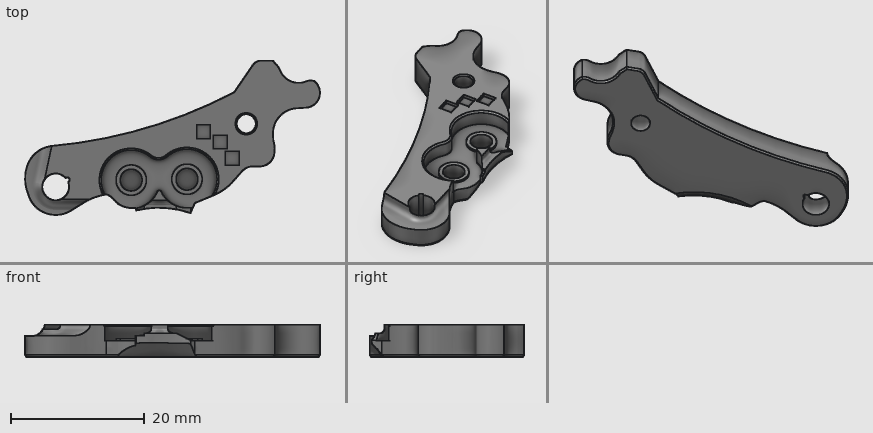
import cadquery as cq
import math

THICKNESS = 4.85
RIM_CHAMFER_HEIGHT = 0.35
RIM_CHAMFER_WIDTH = 0.2

PIVOT = (4.6, 4.23)
PIVOT_RADIUS = 2.0
NOTCH_CENTER = (6.3, 5.3)
NOTCH_RADIUS = 0.35
STEP_Z = 3.15
STEP_CORE_RADIUS = 1.85
STEP_FILLET = 1.6
STEP_LEAN = 12.0
STEP_REACH = 13.2

LOBE_CENTERS = [(15.85, 5.25), (24.17, 5.35)]
LOBE_RADIUS = 4.5
POCKET_FLOOR_Z = 2.4
NECK_FILLET = 2.0
POCKET_CHAMFER = 0.25
ISLAND_WALL_RADIUS = 4.25
ISLAND_TIP_FILLET = 0.3
BOSS_DIAMETER = 4.55
BOSS_TOP_Z = 2.75
BOSS_HOLE_DIAMETER = 3.25
BOSS_HOLE_FLOOR_Z = 0.2
SIDE_EXIT_LENGTH = 2.2

BELLY_CORNER = (25.35, 1.8)
LEFT_LOBE_CORNER = (16.45, 1.05)
LIP_ROOT = (20.7, 2.65)
LIP_START = (16.6, 0.7)
LIP_MIDDLE = (19.9, 1.1)
LIP_END = (24.7, 0.3)
LIP_AXIS = (19.9, -12.25)
LIP_RADIUS = LIP_MIDDLE[1] - LIP_AXIS[1]
LIP_BOTTOM_Z = 2.1
LIP_TOP_Z = 3.55
LIP_BACK_Y = 2.2
LIP_FILLET = 0.7
LIP_SLOPE_START_X = 22.6
LIP_SLOPE_END_Z = 2.5

CROSS_HOLE = (33.02, 13.65)
CROSS_HOLE_DIAMETER = 2.8
CROSS_HOLE_MOUTH_DIAMETER = 3.25
CROSS_HOLE_MOUTH_ANGLE = 90
MARK_CENTERS = [(26.65, 12.45), (29.15, 10.9), (30.9, 8.5)]
MARK_SIDE = 2.05
MARK_DEPTH = 0.55


def block(x_range, y_range, z_range):
    """Axis-aligned box between the given limits."""
    limits = (x_range, y_range, z_range)
    sizes = [high - low for low, high in limits]
    corner = tuple(low for low, high in limits)
    return cq.Workplane("XY").box(*sizes, centered=False).translate(corner)


def cylinder(center, radius, z_low, z_high):
    """Upright cylinder between two heights."""
    return cq.Workplane("XY", origin=(0, 0, z_low)).center(*center).circle(radius).extrude(z_high - z_low)


def plate_outline(height):
    """Closed outline of the plate, without the lip, at the given height."""
    return (
        cq.Workplane("XY", origin=(0, 0, height))
        .moveTo(6.7, 0.57)
        .threePointArc((1.9, 0.95), (0.45, 3.2))
        .threePointArc((0.0, 5.3), (0.3, 7.35))
        .threePointArc((1.9, 9.5), (3.95, 10.35))
        .threePointArc((17.95, 13.0), (31.2, 18.35))
        .lineTo(34.0, 22.4)
        .tangentArcPoint((35.05, 23.05), relative=False)
        .lineTo(37.0, 23.05)
        .lineTo(37.85, 22.05)
        .lineTo(38.15, 21.5)
        .tangentArcPoint((41.95, 20.0), relative=False)
        .tangentArcPoint((43.15, 20.05), relative=False)
        .threePointArc((44.05, 18.27), (41.9, 16.03))
        .lineTo(40.5, 15.95)
        .tangentArcPoint((37.05, 12.45), relative=False)
        .tangentArcPoint((37.2, 10.55), relative=False)
        .tangentArcPoint((37.25, 9.7), relative=False)
        .threePointArc((36.5, 7.85), (34.8, 7.25))
        .lineTo(34.0, 7.25)
        .tangentArcPoint((32.4, 6.55), relative=False)
        .lineTo(30.95, 4.95)
        .tangentArcPoint((28.3, 3.05), relative=False)
        .tangentArcPoint(BELLY_CORNER, relative=False)
        .lineTo(*LIP_ROOT)
        .lineTo(*LEFT_LOBE_CORNER)
        .threePointArc((15.2, 1.15), (13.85, 1.7))
        .lineTo(13.0, 2.6)
        .tangentArcPoint((12.15, 3.1), relative=False)
        .threePointArc((10.13, 2.55), (8.2, 1.5))
        .close()
    )


def make_plate():
    """Plate without the lip; its lower rim tapers inward like a chamfer."""
    rim_taper = math.degrees(math.atan2(RIM_CHAMFER_WIDTH, RIM_CHAMFER_HEIGHT))
    rim = plate_outline(RIM_CHAMFER_HEIGHT).extrude(-RIM_CHAMFER_HEIGHT, taper=rim_taper)
    body = plate_outline(RIM_CHAMFER_HEIGHT).extrude(THICKNESS - RIM_CHAMFER_HEIGHT)
    return body.union(rim)


def make_lip():
    """Bridge between the lobes with a hollow front."""
    return (
        cq.Workplane("XY")
        .moveTo(*BELLY_CORNER)
        .lineTo(*LIP_END)
        .threePointArc(LIP_MIDDLE, LIP_START)
        .lineTo(*LEFT_LOBE_CORNER)
        .lineTo(*LIP_ROOT)
        .close()
        .extrude(THICKNESS)
    )


def lip_undercut():
    """45 degree cone that hollows the underside of the lip."""
    return (
        cq.Workplane("XY")
        .center(*LIP_AXIS)
        .circle(LIP_RADIUS + LIP_BOTTOM_Z)
        .workplane(offset=LIP_BOTTOM_Z)
        .circle(LIP_RADIUS)
        .loft(ruled=True)
    )


def pivot_step():
    """Cutter around the pivot that leaves a raised core with a hollow fillet at its foot."""
    radius = STEP_CORE_RADIUS
    lean = math.radians(STEP_LEAN)
    along = (math.sin(lean), math.cos(lean))
    tangent = (-radius * along[1], radius * along[0])
    wall_end = (tangent[0] + STEP_REACH * along[0], tangent[1] + STEP_REACH * along[1])
    bend = math.radians(225 - STEP_LEAN / 2)
    cutter = (
        cq.Workplane("XY", origin=(*PIVOT, STEP_Z))
        .moveTo(STEP_REACH, -radius)
        .lineTo(0, -radius)
        .threePointArc((radius * math.cos(bend), radius * math.sin(bend)), tangent)
        .lineTo(*wall_end)
        .lineTo(-STEP_REACH, wall_end[1])
        .lineTo(-STEP_REACH, -STEP_REACH)
        .lineTo(STEP_REACH, -STEP_REACH)
        .close()
        .extrude(THICKNESS - STEP_Z)
    )
    foot = cq.selectors.BoxSelector(
        (PIVOT[0] - 3 * radius, PIVOT[1] - 1.2 * radius, STEP_Z - 0.45),
        (PIVOT[0] + STEP_REACH, PIVOT[1] + STEP_REACH, STEP_Z + 0.45),
    )
    return cutter.edges(foot).fillet(STEP_FILLET)


def pocket_lobes():
    """The two overlapping lobes, blended where they meet on the long-back side."""
    left, right = LOBE_CENTERS
    lobes = cylinder(left, LOBE_RADIUS, POCKET_FLOOR_Z, THICKNESS)
    lobes = lobes.union(cylinder(right, LOBE_RADIUS, POCKET_FLOOR_Z, THICKNESS))
    middle_x = (left[0] + right[0]) / 2
    neck = cq.selectors.BoxSelector(
        (middle_x - 0.45, right[1], POCKET_FLOOR_Z),
        (middle_x + 0.45, right[1] + LOBE_RADIUS, THICKNESS),
    )
    return lobes.edges(neck).fillet(NECK_FILLET)


def pocket_island():
    """Pointed island that stands between the lobes, behind the lip."""
    left, right = LOBE_CENTERS
    island = block((left[0], right[0]), (0, left[1]), (POCKET_FLOOR_Z, THICKNESS))
    for center in LOBE_CENTERS:
        island = island.cut(cylinder(center, ISLAND_WALL_RADIUS, POCKET_FLOOR_Z, THICKNESS))
    return island.edges("|Z").edges(">Y").fillet(ISLAND_TIP_FILLET)


def make_pocket():
    """Pocket cutter: lobes around the island, running out straight at the right end of the lip."""
    right = LOBE_CENTERS[1]
    exit_x = (right[0], right[0] + SIDE_EXIT_LENGTH)
    wall_y = right[1] - ISLAND_WALL_RADIUS
    below_exit = block(exit_x, (0, wall_y), (POCKET_FLOOR_Z, THICKNESS))
    side_exit = block(exit_x, (wall_y, right[1]), (POCKET_FLOOR_Z, THICKNESS))
    return pocket_lobes().cut(pocket_island()).cut(below_exit).union(side_exit)


def pocket_mouth_selector():
    """Selects the top edges of the pocket wall that face the long back of the plate."""
    left, right = LOBE_CENTERS
    return cq.selectors.BoxSelector(
        (left[0] - LOBE_RADIUS, left[1], THICKNESS - 0.05),
        (right[0] + LOBE_RADIUS, right[1] + LOBE_RADIUS, THICKNESS + 0.05),
    )


def lip_relief():
    """Cutter that lowers the front of the lip, with a hollow fillet at the back and a sloped right end."""
    x_range = (LEFT_LOBE_CORNER[0] - 0.45, BELLY_CORNER[0])
    step = block(x_range, (-4.4, LIP_BACK_Y), (LIP_TOP_Z, THICKNESS))
    step = step.edges("|X and >Y and <Z").fillet(LIP_FILLET)
    slope = (
        cq.Workplane("XZ")
        .moveTo(LIP_SLOPE_START_X, LIP_TOP_Z)
        .lineTo(LIP_END[0], LIP_SLOPE_END_Z)
        .lineTo(BELLY_CORNER[0], POCKET_FLOOR_Z)
        .lineTo(BELLY_CORNER[0], LIP_TOP_Z)
        .close()
        .extrude(-LIP_BACK_Y)
    )
    return step.union(slope)


result = make_plate().union(make_lip()).cut(lip_undercut())
result = result.cut(pivot_step()).cut(make_pocket()).cut(lip_relief())
result = result.edges(pocket_mouth_selector()).chamfer(POCKET_CHAMFER)

for center in LOBE_CENTERS:
    result = result.union(cylinder(center, BOSS_DIAMETER / 2, POCKET_FLOOR_Z, BOSS_TOP_Z))
    result = result.cut(cylinder(center, BOSS_HOLE_DIAMETER / 2, BOSS_HOLE_FLOOR_Z, BOSS_TOP_Z))

result = result.cut(cylinder(PIVOT, PIVOT_RADIUS, 0, THICKNESS))
result = result.cut(cylinder(NOTCH_CENTER, NOTCH_RADIUS, 0, THICKNESS))
result = (
    result.faces(">Z").workplane(origin=(*CROSS_HOLE, 0))
    .cskHole(CROSS_HOLE_DIAMETER, CROSS_HOLE_MOUTH_DIAMETER, CROSS_HOLE_MOUTH_ANGLE)
)

for x, y in MARK_CENTERS:
    half = MARK_SIDE / 2
    result = result.cut(block((x - half, x + half), (y - half, y + half), (THICKNESS - MARK_DEPTH, THICKNESS)))